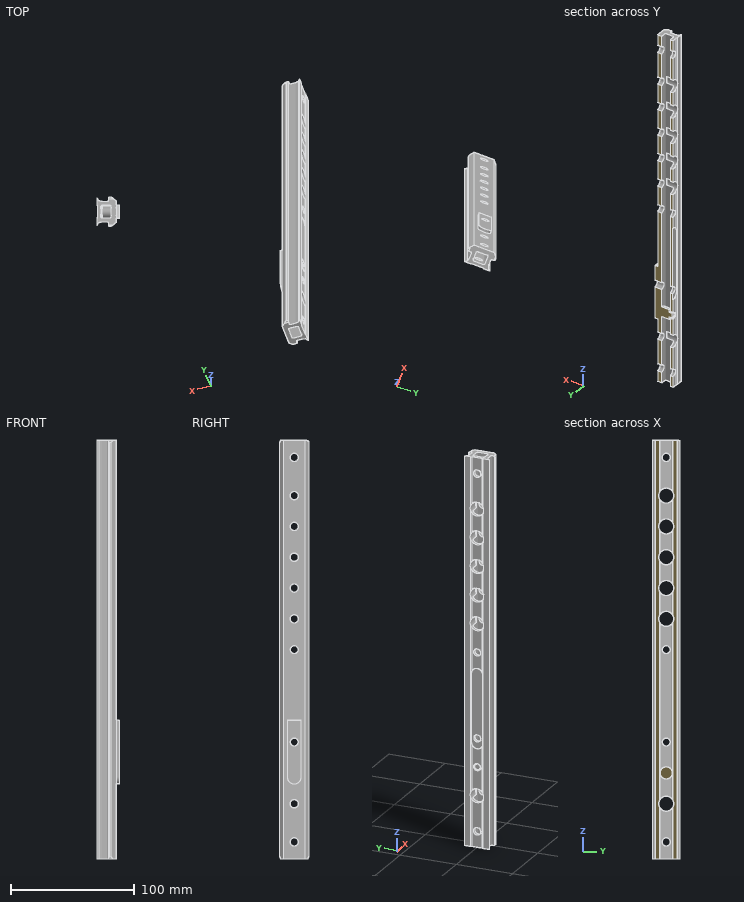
import cadquery as cq
import math

RAIL_LENGTH = 340.0
RAIL_DEPTH = 15.7
RAIL_WIDTH = 24.0
BACK_WIDTH = 22.5
WEB_WIDTH = 16.8
FRONT_WIDTH = 17.4

BACK_FLANGE_EDGE = 1.5
BACK_FLANGE_STEP = 0.6
BACK_FLANGE_TAPER_END = 4.3

FLANGE_START = 9.4
FLANGE_CORNER_RADIUS = 1.1
TIP_BACK_RUN = 0.9
TIP_BACK_DROP = 0.4
TIP_LENGTH = 1.2
TIP_FRONT_RUN = 1.0
TIP_FRONT_DROP = 0.6

END_BEVEL_WIDTH = 1.9
END_BEVEL_HEIGHT = 1.0

GROOVE_WIDTH = 10.0
GROOVE_DEPTH = 0.4
GROOVE_BEVEL = 0.6

HOLLOW_START = 3.2
HOLLOW_END = 11.6
HOLLOW_WIDTH = 10.2
HOLLOW_CORNER_RADIUS = 1.1

RECESS_BOTTOM = 86.0
RECESS_TOP = 156.0
RECESS_WIDTH = 10.0
RECESS_DEPTH = 0.3

PAD_BOTTOM = 61.0
PAD_TOP = 113.0
PAD_WIDTH = 11.0
PAD_THICKNESS = 2.7
PAD_CHAMFER_HEIGHT = 0.4
PAD_CHAMFER_DEPTH = 1.1
PIN_HEIGHT = 70.0
PIN_DIAMETER = 10.0
PIN_BACK = 4.3
PIN_TIP_DIAMETER = 5.0
PIN_TIP_BACK = 1.2
PIN_CLEARANCE_DIAMETER = 6.2

BOLT_DIAMETER = 6.5
LOCATING_DIAMETER = 6.2
HEAD_DIAMETER = 12.0
HEAD_SEAT = HOLLOW_END - HOLLOW_CORNER_RADIUS
PITCH = 25.0
END_HOLE_INSET = 14.0
OUTER_HEAD_INSET = 45.0
UPPER_GROUP_START = 195.0
UPPER_GROUP_COUNT = 4

upper_group = [UPPER_GROUP_START + PITCH * index for index in range(UPPER_GROUP_COUNT)]
end_hole_heights = [END_HOLE_INSET, RAIL_LENGTH - END_HOLE_INSET]
head_hole_heights = [OUTER_HEAD_INSET] + upper_group + [RAIL_LENGTH - OUTER_HEAD_INSET]
locating_hole_heights = [PIN_HEIGHT + PITCH, UPPER_GROUP_START - PITCH]


def half_profile():
    """The +Y half of the rail section, closed along Y = 0."""
    half_width = RAIL_WIDTH / 2
    half_back = BACK_WIDTH / 2
    half_web = WEB_WIDTH / 2
    half_groove = GROOVE_WIDTH / 2
    arc_start = FLANGE_START - FLANGE_CORNER_RADIUS
    arc_rise = FLANGE_CORNER_RADIUS * (1 - math.sqrt(0.5))
    arc_run = FLANGE_CORNER_RADIUS * math.sqrt(0.5)
    tip_start = FLANGE_START + TIP_BACK_RUN
    tip_end = tip_start + TIP_LENGTH
    return (
        cq.Workplane("XY")
        .moveTo(GROOVE_DEPTH, 0)
        .lineTo(GROOVE_DEPTH, half_groove - GROOVE_BEVEL)
        .lineTo(0, half_groove + GROOVE_BEVEL)
        .lineTo(0, half_back)
        .lineTo(BACK_FLANGE_EDGE, half_web + BACK_FLANGE_STEP)
        .lineTo(BACK_FLANGE_TAPER_END, half_web)
        .lineTo(arc_start, half_web)
        .threePointArc(
            (arc_start + arc_run, half_web + arc_rise),
            (FLANGE_START, half_web + FLANGE_CORNER_RADIUS),
        )
        .lineTo(FLANGE_START, half_width - TIP_BACK_DROP)
        .lineTo(tip_start, half_width)
        .lineTo(tip_end, half_width)
        .lineTo(tip_end + TIP_FRONT_RUN, half_width - TIP_FRONT_DROP)
        .lineTo(RAIL_DEPTH, FRONT_WIDTH / 2)
        .lineTo(RAIL_DEPTH, 0)
        .close()
    )


def rail():
    half = half_profile().extrude(RAIL_LENGTH)
    body = half.union(half.mirror("XZ"))
    hollow = (
        cq.Workplane("XY")
        .center((HOLLOW_START + HOLLOW_END) / 2, 0)
        .rect(HOLLOW_END - HOLLOW_START, HOLLOW_WIDTH)
        .extrude(RAIL_LENGTH)
        .edges("|Z")
        .fillet(HOLLOW_CORNER_RADIUS)
    )
    bevelled_block = (
        cq.Workplane("YZ", origin=(0, 0, RAIL_LENGTH / 2))
        .rect(RAIL_WIDTH, RAIL_LENGTH)
        .extrude(RAIL_DEPTH)
        .faces("<Z or >Z")
        .edges("|X")
        .chamfer(END_BEVEL_HEIGHT, END_BEVEL_WIDTH)
    )
    return body.intersect(bevelled_block).cut(hollow)


def cylinder_along_x(diameter, start, end, height):
    return (
        cq.Workplane("YZ", origin=(start, 0, height))
        .circle(diameter / 2)
        .extrude(end - start)
    )


def back_recess():
    return (
        cq.Workplane("YZ", origin=(0, 0, (RECESS_BOTTOM + RECESS_TOP) / 2))
        .slot2D(RECESS_TOP - RECESS_BOTTOM, RECESS_WIDTH, angle=90)
        .extrude(GROOVE_DEPTH + RECESS_DEPTH)
    )


def locking_pad():
    """A plate with a round lower end and a bevelled upper edge."""
    half_width = PAD_WIDTH / 2
    round_center = PAD_BOTTOM + half_width
    pad = (
        cq.Workplane("YZ", origin=(RAIL_DEPTH, 0, 0))
        .moveTo(-half_width, round_center)
        .lineTo(-half_width, PAD_TOP)
        .lineTo(half_width, PAD_TOP)
        .lineTo(half_width, round_center)
        .threePointArc((0, PAD_BOTTOM), (-half_width, round_center))
        .close()
        .extrude(PAD_THICKNESS)
    )
    chamfer_start = RAIL_DEPTH + PAD_THICKNESS - PAD_CHAMFER_DEPTH
    chamfer_waste = (
        cq.Workplane("XZ")
        .moveTo(chamfer_start, PAD_TOP)
        .lineTo(RAIL_DEPTH + PAD_THICKNESS, PAD_TOP)
        .lineTo(RAIL_DEPTH + PAD_THICKNESS, PAD_TOP - PAD_CHAMFER_HEIGHT)
        .close()
        .extrude(half_width, both=True)
    )
    return pad.cut(chamfer_waste)


def locking_pin():
    shank = cylinder_along_x(PIN_DIAMETER, PIN_BACK, RAIL_DEPTH, PIN_HEIGHT)
    tip = cylinder_along_x(PIN_TIP_DIAMETER, PIN_TIP_BACK, PIN_BACK, PIN_HEIGHT)
    return shank.union(tip)


def through_holes(body, diameter, heights):
    for height in heights:
        body = body.cut(cylinder_along_x(diameter, 0, RAIL_DEPTH + PAD_THICKNESS, height))
    return body


def head_bores(body):
    for height in head_hole_heights:
        body = body.cut(cylinder_along_x(HEAD_DIAMETER, 0, HEAD_SEAT, height))
    return body


pin_clearance = cylinder_along_x(PIN_CLEARANCE_DIAMETER, 0, HOLLOW_START, PIN_HEIGHT)

result = rail().cut(back_recess()).cut(pin_clearance)
result = result.union(locking_pad()).union(locking_pin())
result = through_holes(result, BOLT_DIAMETER, end_hole_heights + head_hole_heights)
result = through_holes(result, LOCATING_DIAMETER, locating_hole_heights)
result = head_bores(result)